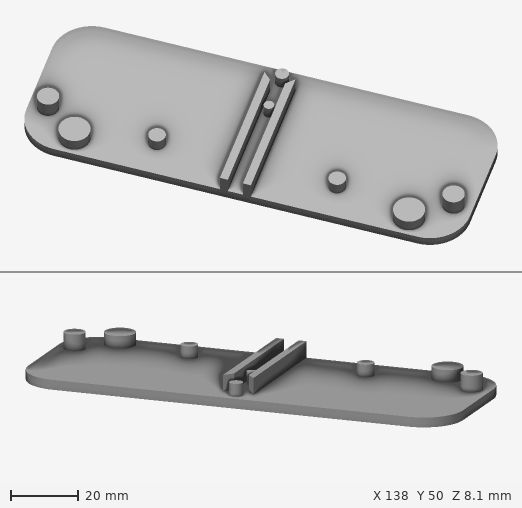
import cadquery as cq

plate_length = 138
plate_width = 50.0
plate_thickness = 3.0
corner_radius = 12.4

tall_height = 5.1
short_height = 3.9

channel_outer_width = 9.7
channel_inner_width = 4.7
channel_end_y = 18.6

end_pin_diameter = 4.1
end_pin_y = 20.5
channel_pin_diameter = 3.2
channel_pin_y = 7.7

pin_pairs = [
    (5.2, 28.0, -13.5, short_height),
    (9.5, 52.0, -18.8, short_height),
    (6.6, 63.0, -10.0, tall_height),
]


def make_plate():
    plate = cq.Workplane("XY").box(
        plate_length, plate_width, plate_thickness, centered=(True, True, False)
    )
    return plate.edges("|Z").fillet(corner_radius)


def make_wall(side):
    """Wall on one side (-1 or 1), its back end mitred at 45 degrees towards the channel."""
    inner_x = side * channel_inner_width / 2
    outer_x = side * channel_outer_width / 2
    front_y = -plate_width / 2
    mitre = (channel_outer_width - channel_inner_width) / 2
    outline = [
        (inner_x, front_y),
        (outer_x, front_y),
        (outer_x, channel_end_y),
        (inner_x, channel_end_y - mitre),
    ]
    wall = cq.Workplane("XY").workplane(offset=plate_thickness)
    return wall.polyline(outline).close().extrude(tall_height)


def make_pin(diameter, x, y, height):
    """Pin rooted at the underside of the plate and rising above its top face."""
    pin = cq.Workplane("XY").center(x, y).circle(diameter / 2)
    return pin.extrude(plate_thickness + height)


result = make_plate()
for side in (-1, 1):
    result = result.union(make_wall(side))
    for diameter, distance, y, height in pin_pairs:
        result = result.union(make_pin(diameter, side * distance, y, height))
result = result.union(make_pin(end_pin_diameter, 0, end_pin_y, short_height))
result = result.union(make_pin(channel_pin_diameter, 0, channel_pin_y, short_height))